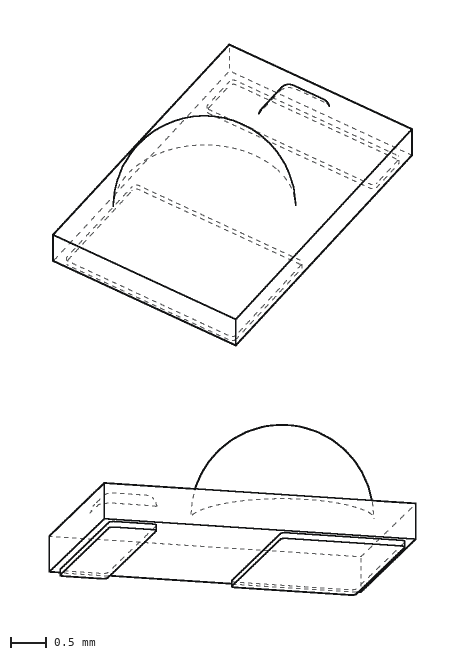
import cadquery as cq
import math

board_width = 3.05
board_length = 4.49
board_thickness = 0.515

lens_radius = 1.275
lens_y = -0.715
flare_radius = 0.1

bump_size = 0.8
bump_height = 0.2
bump_round = 0.15
bump_y = 1.57

pad_width = 2.82
pad_thickness = 0.08
pad_corner_radius = 0.067
pad_edge_margin = 0.112
small_pad_length = 0.682
large_pad_length = 1.79

embed_depth = 0.045


def make_board():
    return cq.Workplane("XY").box(
        board_width, board_length, board_thickness, centered=(True, True, False)
    ).translate((0, 0, -board_thickness))


def make_lens():
    diagonal = math.sqrt(0.5)
    foot_radius = lens_radius + flare_radius
    flare_middle = (foot_radius - flare_radius * diagonal, flare_radius * (1 - diagonal))
    dome_middle = (lens_radius * diagonal, flare_radius + lens_radius * diagonal)
    return (
        cq.Workplane("XZ")
        .moveTo(0, -embed_depth)
        .lineTo(foot_radius, -embed_depth)
        .lineTo(foot_radius, 0)
        .threePointArc(flare_middle, (lens_radius, flare_radius))
        .threePointArc(dome_middle, (0, flare_radius + lens_radius))
        .close()
        .revolve(360, (0, 0), (0, 1))
        .translate((0, lens_y, 0))
    )


def bump_edge_profile():
    """Section from the edge of the bump's flat top out to the foot of its flare."""
    round_center_z = bump_height - bump_round
    center_distance = bump_round + flare_radius
    slope = math.asin((flare_radius - round_center_z) / center_distance)
    foot = center_distance * math.cos(slope)
    seam = (bump_round * math.cos(slope), round_center_z + bump_round * math.sin(slope))
    round_angle = (math.pi / 2 + slope) / 2
    round_middle = (
        bump_round * math.cos(round_angle),
        round_center_z + bump_round * math.sin(round_angle),
    )
    flare_angle = (math.pi / 2 - slope) / 2 + slope
    flare_middle = (
        foot - flare_radius * math.cos(flare_angle),
        flare_radius - flare_radius * math.sin(flare_angle),
    )
    return (
        cq.Workplane("XZ")
        .moveTo(0, bump_height)
        .threePointArc(round_middle, seam)
        .threePointArc(flare_middle, (foot, 0))
        .lineTo(foot, -embed_depth)
        .lineTo(0, -embed_depth)
        .close()
    )


def make_bump():
    flat = bump_size - 2 * bump_round
    bump = cq.Workplane("XY").box(
        flat, flat, bump_height + embed_depth, centered=(True, True, False)
    ).translate((0, 0, -embed_depth))
    side = bump_edge_profile().extrude(flat / 2, both=True).translate((flat / 2, 0, 0))
    corner = (
        bump_edge_profile()
        .revolve(90, (0, 0), (0, 1))
        .translate((flat / 2, flat / 2, 0))
    )
    for turn in range(4):
        for piece in (side, corner):
            bump = bump.union(piece.rotate((0, 0, 0), (0, 0, 1), 90 * turn))
    return bump.translate((0, bump_y, 0))


def make_pad(length, center_y):
    return (
        cq.Workplane("XY")
        .box(pad_width, length, pad_thickness, centered=(True, True, False))
        .edges("|Z")
        .fillet(pad_corner_radius)
        .translate((0, center_y, -board_thickness - pad_thickness))
    )


pad_outer_y = board_length / 2 - pad_edge_margin
small_pad = make_pad(small_pad_length, pad_outer_y - small_pad_length / 2)
large_pad = make_pad(large_pad_length, large_pad_length / 2 - pad_outer_y)

result = make_board().union(make_lens()).union(make_bump()).union(small_pad).union(large_pad)